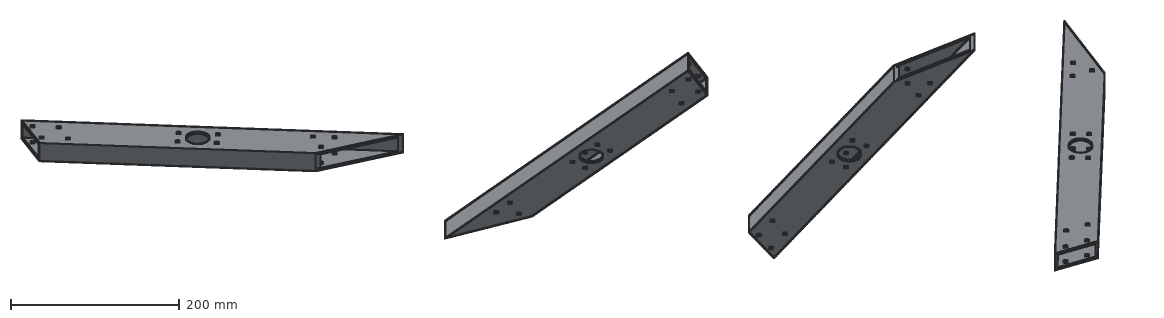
import cadquery as cq
import math

length_y = 406.5
lean = 2.0
length_x = length_y / lean
height = 25.0
tube_width = 50.5
wall = 3.0

lean_angle = math.degrees(math.atan(lean))
width_to_x = math.hypot(1, lean) / lean
mouth_width = tube_width * width_to_x
wall_x = wall * width_to_x

screw_diameter = 5.0
edge_offset = 14.0

foot_row_y = 7.0
foot_pitch = 28.0

tip_row_y = 305.5
tip_pitch_x = 25.5
tip_pitch_y = 23.0

bore_diameter = 28.0
bore_y = 178.0
bore_pattern_length = 46.7
bore_pattern_width = 19.5


def left_side_x(y):
    """X of the left long side at a given Y."""
    return y / lean


def screw_point(y, step_x=0.0):
    """Screw position in a row at y, stepped in X from the left-hand hole."""
    return (left_side_x(y) + edge_offset + step_x, y)


def leaning_prism(left, right, z_bottom, z_top):
    """Prism between two leaning sides, cut square to Y at the foot and to X at the tip."""
    outline = [
        (left, 0),
        (right, 0),
        (length_x, (length_x - right) * lean),
        (length_x, (length_x - left) * lean),
    ]
    base = cq.Workplane("XY").workplane(offset=z_bottom)
    return base.polyline(outline).close().extrude(z_top - z_bottom)


def through_holes(points, diameter):
    return cq.Workplane("XY").pushPoints(points).circle(diameter / 2).extrude(height)


tube = leaning_prism(0, mouth_width, 0, height)
cavity = leaning_prism(wall_x, mouth_width - wall_x, wall, height - wall)
result = tube.cut(cavity)

foot_top_y = foot_row_y + foot_pitch
foot_points = [screw_point(y, step) for y in (foot_row_y, foot_top_y) for step in (0, foot_pitch)]
tip_points = [
    screw_point(tip_row_y),
    screw_point(tip_row_y, tip_pitch_x),
    screw_point(tip_row_y + tip_pitch_y),
]
result = result.cut(through_holes(foot_points + tip_points, screw_diameter))

bore_center = (left_side_x(bore_y) + mouth_width / 2, bore_y)
result = result.cut(through_holes([bore_center], bore_diameter))
bore_screws = (
    cq.Workplane("XY")
    .center(*bore_center)
    .transformed(rotate=(0, 0, lean_angle))
    .rect(bore_pattern_length, bore_pattern_width, forConstruction=True)
    .vertices()
    .circle(screw_diameter / 2)
    .extrude(height)
)
result = result.cut(bore_screws)